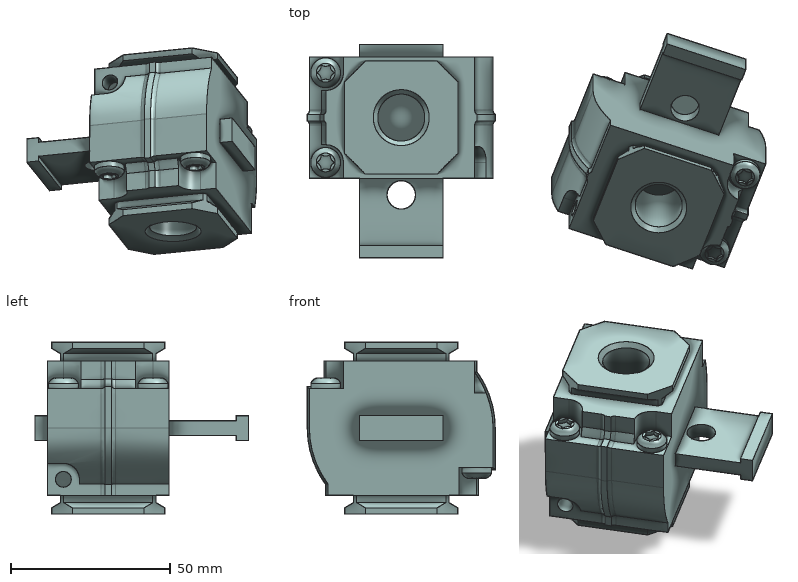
import cadquery as cq
import math


overall_width = 59.0
side_x = 28.8
bulge_radius = 29.35
housing_depth = 38.2
housing_height = 42.2
ledge_height = 12.4
ledge_wall_x = 23.6
bulge_wall_x = 23.05
bevel_width = 1.4
bevel_rise = 2.9

ridge_height = overall_width / 2 - side_x
ridge_crest_width = 2.0
ridge_base_width = 4.7
ridge_root = 0.4

screw_x = 23.7
screw_y = 14.1
recess_radius = 5.55
screw_head_radius = 4.7
screw_head_height = 3.35
screw_rim_height = 1.7
dome_arc_radius = 3.0
dome_flat_radius = 2.95
star_tip_radius = 2.9
star_valley_radius = 2.0
star_depth = 1.35
star_points = 6

side_hole_z = 16.1
pocket_radius = 5.0
side_hole_radius = 2.5
side_hole_depth = 6.7

port_height = 54.0
flange_width = 35.5
flange_rim = 2.0
flange_taper = 1.6
flange_corner = 6.5
neck_width = 30.1
bore_radius = 7.4
bore_chamfer = 1.4

bar_width = 26.25
bar_thickness = 4.7
block_height = 7.85
block_length = 3.9
bar_length = 67.0
bar_hole_radius = 4.4
bar_hole_y = -24.25

half_depth = housing_depth / 2
half_height = housing_height / 2
bulge_axis_x = bulge_radius - side_x
bulge_end_angle = math.acos((bulge_wall_x + bulge_axis_x) / bulge_radius)


def bulge_point(angle):
    """Point (X, Z) of the left bulge at this angle below mid-height."""
    return bulge_axis_x - bulge_radius * math.cos(angle), -bulge_radius * math.sin(angle)


def side_outline(plane):
    """Outline of the left (-X) side, from the top face down to the bottom face."""
    return (
        plane.moveTo(-ledge_wall_x, half_height)
        .lineTo(-ledge_wall_x, ledge_height + bevel_rise)
        .lineTo(-ledge_wall_x - bevel_width, ledge_height)
        .lineTo(-side_x, ledge_height)
        .lineTo(-side_x, 0)
        .threePointArc(bulge_point(bulge_end_angle / 2), bulge_point(bulge_end_angle))
        .lineTo(-bulge_wall_x, -half_height)
    )


def turned_half(shape):
    """The same shape on the opposite (+X) side, upside down."""
    return shape.rotate((0, 0, 0), (0, 1, 0), 180)


def make_body():
    """Plain block with the stepped and bulged side outline."""
    half = (
        side_outline(cq.Workplane("XZ"))
        .lineTo(0, -half_height)
        .lineTo(0, half_height)
        .close()
        .extrude(half_depth, both=True)
    )
    return half.union(turned_half(half))


def make_ridge():
    """Ridge with concave flanks, swept down the left side."""
    crest = ridge_crest_width / 2
    base = ridge_base_width / 2
    flank_run = base - crest
    flank_radius = (flank_run**2 + ridge_height**2) / (2 * ridge_height)
    flank_angle = math.asin(flank_run / flank_radius) / 2
    flank_mid_y = base - flank_radius * math.sin(flank_angle)
    flank_mid_rise = flank_radius * (1 - math.cos(flank_angle))
    section = (
        cq.Workplane("XY", origin=(-ledge_wall_x, 0, half_height))
        .moveTo(ridge_root, -base)
        .lineTo(0, -base)
        .threePointArc((-flank_mid_rise, -flank_mid_y), (-ridge_height, -crest))
        .lineTo(-ridge_height, crest)
        .threePointArc((-flank_mid_rise, flank_mid_y), (0, base))
        .lineTo(ridge_root, base)
        .close()
    )
    return section.sweep(side_outline(cq.Workplane("XZ")), transition="right")


def make_port():
    """Upper square flange on a narrower neck, with its corners cut off."""
    top = port_height / 2
    rim_bottom = top - flange_rim
    neck_top = rim_bottom - flange_taper
    half_flange = flange_width / 2
    half_neck = neck_width / 2
    rim = cq.Workplane("XY", origin=(0, 0, rim_bottom)).rect(flange_width, flange_width).extrude(flange_rim)
    taper_angle = math.degrees(math.atan((half_flange - half_neck) / flange_taper))
    taper = (
        cq.Workplane("XY", origin=(0, 0, neck_top))
        .rect(neck_width, neck_width)
        .extrude(flange_taper, taper=-taper_angle)
    )
    neck = cq.Workplane("XY").rect(neck_width, neck_width).extrude(neck_top)
    corner_limit = (
        cq.Workplane("XY")
        .rect(flange_width, flange_width)
        .extrude(top)
        .edges("|Z")
        .chamfer(flange_corner)
    )
    return rim.union(taper).union(neck).intersect(corner_limit)


def make_bore():
    """Through bore with a chamfered mouth at each end."""
    top = port_height / 2
    return (
        cq.Workplane("XZ")
        .moveTo(0, top)
        .lineTo(bore_radius + bore_chamfer, top)
        .lineTo(bore_radius, top - bore_chamfer)
        .lineTo(bore_radius, bore_chamfer - top)
        .lineTo(bore_radius + bore_chamfer, -top)
        .lineTo(0, -top)
        .close()
        .revolve(360, (0, 0), (0, 1))
    )


def make_screw_recess():
    """Recess down to the left ledge at its +Y end, with a round inner corner beside the screw."""
    length = side_x - screw_x + recess_radius
    width = half_depth - screw_y + recess_radius
    return (
        cq.Workplane("XY", origin=(-side_x, half_depth, ledge_height))
        .rect(length, -width, centered=False)
        .extrude(half_height - ledge_height)
        .edges("|Z and >X and <Y")
        .fillet(recess_radius)
    )


def make_side_pocket():
    """Pocket under the left bulge at its +Y end, with a blind hole in its floor."""
    width = half_depth - screw_y + pocket_radius
    height = half_height - side_hole_z + pocket_radius
    pocket = (
        cq.Workplane("YZ", origin=(-side_x, half_depth, -half_height))
        .rect(-width, height, centered=False)
        .extrude(side_x - bulge_wall_x)
        .edges("|X and <Y and >Z")
        .fillet(pocket_radius)
    )
    hole = (
        cq.Workplane("YZ", origin=(-bulge_wall_x, screw_y, -side_hole_z))
        .circle(side_hole_radius)
        .extrude(side_hole_depth)
    )
    return pocket.union(hole)


def make_bar_slot():
    """Slot along Y that fits the thin part of the bar."""
    return cq.Workplane("XY").box(bar_width, housing_depth, bar_thickness)


def make_housing():
    ridge = make_ridge()
    port = make_port()
    recess = make_screw_recess()
    recesses = recess.union(recess.mirror("XZ"))
    pocket = make_side_pocket()
    housing = make_body().union(ridge).union(turned_half(ridge))
    housing = housing.cut(recesses).cut(turned_half(recesses))
    housing = housing.cut(pocket).cut(turned_half(pocket.mirror("XZ")))
    housing = housing.union(port).union(turned_half(port))
    return housing.cut(make_bore()).cut(make_bar_slot())


def make_slide_bar():
    """Flat bar through the housing, with a cross hole and a thicker block at each end."""
    back_y = half_depth + block_length
    front_y = back_y - bar_length
    middle_y = (back_y + front_y) / 2
    bar = cq.Workplane("XY", origin=(0, middle_y, 0)).box(bar_width, bar_length, bar_thickness)
    for block_y in (back_y - block_length / 2, front_y + block_length / 2):
        bar = bar.union(
            cq.Workplane("XY", origin=(0, block_y, 0)).box(bar_width, block_length, block_height)
        )
    hole = (
        cq.Workplane("XY", origin=(0, bar_hole_y, 0))
        .circle(bar_hole_radius)
        .extrude(bar_thickness, both=True)
    )
    return bar.cut(hole)


def make_screw():
    """Domed head seated on the left ledge at mid-depth, with a six-pointed star socket."""
    head = (
        cq.Workplane("XZ")
        .lineTo(screw_head_radius, 0)
        .lineTo(screw_head_radius, screw_rim_height)
        .radiusArc((dome_flat_radius, screw_head_height), -dome_arc_radius)
        .lineTo(0, screw_head_height)
        .close()
        .revolve(360, (0, 0), (0, 1))
    )
    step = 2 * math.pi / star_points
    star = cq.Workplane("XY", origin=(0, 0, screw_head_height)).moveTo(star_tip_radius, 0)
    for point in range(star_points):
        valley_angle = (point + 0.5) * step
        tip_angle = (point + 1) * step
        star = star.threePointArc(
            (star_valley_radius * math.cos(valley_angle), star_valley_radius * math.sin(valley_angle)),
            (star_tip_radius * math.cos(tip_angle), star_tip_radius * math.sin(tip_angle)),
        )
    socket = star.close().extrude(-star_depth)
    return head.cut(socket).translate((-screw_x, 0, ledge_height))


housing = make_housing()
slide_bar = make_slide_bar()
screws = []
for y in (-screw_y, screw_y):
    screw = make_screw().translate((0, y, 0))
    screws.append(screw.val())
    screws.append(turned_half(screw).val())

result = cq.Compound.makeCompound([housing.val(), slide_bar.val(), *screws])